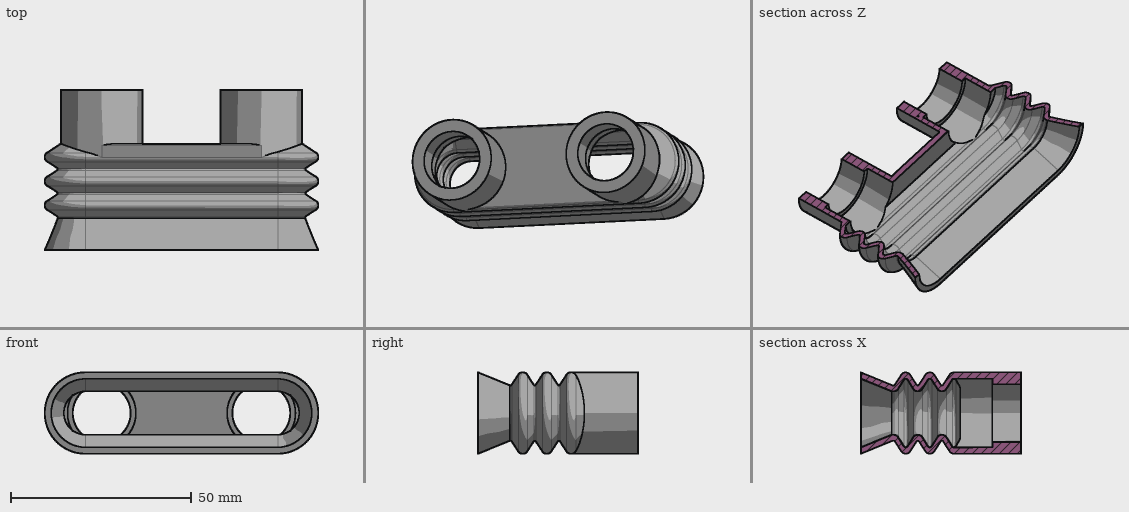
import cadquery as cq
import math


total_length = 76.0
total_depth = 44.5
outer_radius = 11.35
wall = 1.85
fold_radius = 7.7
fold_inner_radius = 6.0
first_fold_y = 9.1
ridge_pitch = 6.7
ridge_count = 3
wide_round = 1.5
outer_fold_round = 0.3
inner_ridge_round = 0.6
fold_land = 0.2
fold_inner_land = 0.55
back_y = 29.5
web_edge_fillet = 0.4
neck_spacing = 44.3
neck_bore_radius = 8.0
neck_lip_depth = 8.0

end_axis_x = total_length / 2 - outer_radius
inner_radius = outer_radius - wall
chamber_back_y = back_y - wall
ridge_centres = [first_fold_y + (i + 0.5) * ridge_pitch for i in range(ridge_count)]
last_ridge_y = ridge_centres[-1]


def tangent_flank_angle(rise, ridge_round, fold_round):
    """Slope, from Y, of the straight flank that touches both a crest rounding and a fold rounding."""
    run = ridge_pitch / 2
    centre_rise = rise - ridge_round - fold_round
    centre_distance = math.hypot(run, centre_rise)
    return math.atan2(centre_rise, run) + math.asin((ridge_round + fold_round) / centre_distance)


def bellows_profile(rim_radius, fold, land, ridge_round, fold_round, end_y):
    """Closed half section: distance from the centre plane along X, depth along Y.

    The ridges rise to the same height as the rim. Crests and folds are arcs tangent to straight flanks.
    """
    angle = tangent_flank_angle(rim_radius - fold, ridge_round, fold_round)
    crest_half_width = ridge_round * math.sin(angle)
    shoulder = rim_radius - ridge_round * (1 - math.cos(angle))
    fold_half_width = fold_round * math.sin(angle)
    fold_edge = fold + fold_round * (1 - math.cos(angle))
    fold_middle = fold + fold_round * (1 - math.cos(angle / 2))
    fold_middle_offset = fold_round * math.sin(angle / 2)

    profile = cq.Workplane("XY").moveTo(0, 0).lineTo(rim_radius, 0)
    profile = profile.lineTo(fold, first_fold_y - land).lineTo(fold, first_fold_y)
    profile = profile.threePointArc(
        (fold_middle, first_fold_y + fold_middle_offset), (fold_edge, first_fold_y + fold_half_width)
    )
    for centre_y in ridge_centres:
        profile = profile.lineTo(shoulder, centre_y - crest_half_width)
        profile = profile.threePointArc((rim_radius, centre_y), (shoulder, centre_y + crest_half_width))
        if centre_y < last_ridge_y:
            fold_y = centre_y + ridge_pitch / 2
            profile = profile.lineTo(fold_edge, fold_y - fold_half_width)
            profile = profile.threePointArc((fold, fold_y), (fold_edge, fold_y + fold_half_width))
    end_run = end_y - last_ridge_y - crest_half_width
    end_radius = shoulder - end_run * math.tan(angle)
    return profile.lineTo(end_radius, end_y).lineTo(0, end_y).close()


def oblong_solid(profile):
    """Sweep a half section round an oblong: straight sides and two half-round ends."""
    section = cq.Face.makeFromWires(profile.wire().val())
    upright = section.rotate(cq.Vector(0, 0, 0), cq.Vector(0, 1, 0), -90)
    start = upright.translate(cq.Vector(-end_axis_x, 0, 0))
    side = cq.Workplane(cq.Solid.extrudeLinear(start, cq.Vector(2 * end_axis_x, 0, 0)))
    solid = side.union(side.rotate((0, 0, 0), (0, 1, 0), 180))
    round_end = profile.revolve(360, (0, 0, 0), (0, 1, 0))
    for x in (-end_axis_x, end_axis_x):
        solid = solid.union(round_end.translate((x, 0, 0)))
    return solid


def neck_cylinders(radius, start_y, end_y):
    """Two equal cylinders along Y, one on each neck axis."""
    plane = cq.Workplane("XZ", origin=(0, start_y, 0))
    centres = [(-neck_spacing / 2, 0), (neck_spacing / 2, 0)]
    return plane.pushPoints(centres).circle(radius).extrude(start_y - end_y)


def web():
    """Full-height block that joins the two necks behind the last ridge."""
    depth = back_y - last_ridge_y
    block = cq.Workplane("XY").box(neck_spacing, depth, 2 * outer_radius)
    block = block.translate((0, last_ridge_y + depth / 2, 0))
    return block.edges(">Y and |X").fillet(web_edge_fillet)


outside_profile = bellows_profile(
    outer_radius, fold_radius, fold_land, wide_round, outer_fold_round, back_y
)
chamber_profile = bellows_profile(
    inner_radius, fold_inner_radius, fold_inner_land, inner_ridge_round, wide_round, chamber_back_y
)
outside = oblong_solid(outside_profile)
chamber = oblong_solid(chamber_profile)

body = outside.union(web()).union(neck_cylinders(outer_radius, last_ridge_y, total_depth))
wide_bores = neck_cylinders(inner_radius, last_ridge_y, total_depth - neck_lip_depth)
end_openings = neck_cylinders(neck_bore_radius, last_ridge_y, total_depth)

result = body.cut(chamber).cut(wide_bores).cut(end_openings)